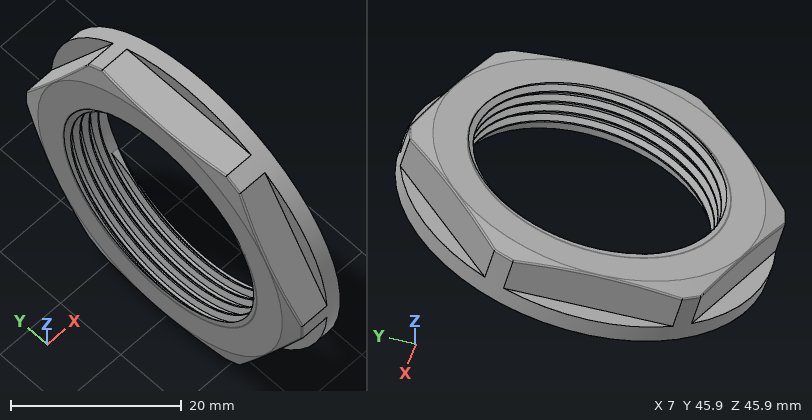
import cadquery as cq
import math

flange_diameter = 45.9
overall_length = 7.0
flange_thickness = 2.2
across_flats = 41.0
face_circle_diameter = 40.6
face_chamfer_angle = 14.0
edge_fillet = 0.2

thread_major_diameter = 32.02
thread_minor_diameter = 30.5
thread_pitch = 1.5
crest_width = thread_pitch / 8
flank_angle = 30.0
thread_start_angle = -30.0
thread_end_gap = 0.1
root_overlap = 0.1

hex_face_x = -overall_length / 2
flange_face_x = overall_length / 2
hex_length = overall_length - flange_thickness

flange_radius = flange_diameter / 2
flat_radius = across_flats / 2
face_circle_radius = face_circle_diameter / 2
major_radius = thread_major_diameter / 2
minor_radius = thread_minor_diameter / 2
thread_depth = major_radius - minor_radius

axis_start = (0, 0, 0)
axis_end = (1, 0, 0)


def make_turned_blank():
    """Disc with the conical chamfer that takes the hexagon corners off the face."""
    chamfer_length = (flange_radius - face_circle_radius) * math.tan(math.radians(face_chamfer_angle))
    profile = (
        cq.Workplane("XY")
        .moveTo(hex_face_x, 0)
        .lineTo(hex_face_x, face_circle_radius)
        .lineTo(hex_face_x + chamfer_length, flange_radius)
        .lineTo(flange_face_x, flange_radius)
        .lineTo(flange_face_x, 0)
        .close()
    )
    return profile.revolve(360, axis_start, axis_end)


def cut_hexagon(body):
    """Leave six flats, two of them facing +Z and -Z, and a round flange behind them."""
    corner_diameter = across_flats / math.cos(math.pi / 6)
    waste = (
        cq.Workplane("YZ", origin=(hex_face_x, 0, 0))
        .circle(flange_diameter)
        .polygon(6, corner_diameter)
        .extrude(hex_length)
    )
    return body.cut(waste)


def round_hexagon_edges(body):
    """Small fillet where the conical chamfer meets the flats and the corner arcs."""
    return body.faces("%CONE").edges("not <X").fillet(edge_fillet)


def cut_bore(body):
    """Plain through bore at the thread major diameter."""
    bore = cq.Workplane("YZ", origin=(hex_face_x, 0, 0)).circle(major_radius).extrude(overall_length)
    return body.cut(bore)


def make_thread_ramp():
    """Block whose flat side, tangent to the crest, slopes the start of the ridge up from the bore wall."""
    ramp_angle = math.degrees(math.acos(minor_radius / major_radius))
    block_height = 2 * thread_depth
    block_width = 2 * thread_pitch
    block_length = math.sqrt(major_radius**2 - minor_radius**2) + thread_depth
    block = (
        cq.Workplane("XY", origin=(flange_face_x, minor_radius - block_height / 2, 0))
        .rect(block_width, block_height)
        .extrude(block_length)
    )
    return block.rotate(axis_start, axis_end, thread_start_angle - ramp_angle)


def make_thread_ridge():
    """Right-handed helical ridge, starting near the flange face and trimmed at the hexagon face."""
    flank_slope = math.tan(math.radians(flank_angle))
    crest_half_width = crest_width / 2
    root_half_width = crest_half_width + thread_depth * flank_slope
    buried_radius = major_radius + root_overlap
    buried_half_width = root_half_width + root_overlap * flank_slope
    ridge_start_x = flange_face_x - thread_end_gap - root_half_width
    ridge_length = ridge_start_x - hex_face_x + thread_pitch
    path = cq.Wire.makeHelix(thread_pitch, ridge_length, major_radius)
    ridge = (
        cq.Workplane("XZ")
        .moveTo(buried_radius, -buried_half_width)
        .lineTo(minor_radius, -crest_half_width)
        .lineTo(minor_radius, crest_half_width)
        .lineTo(buried_radius, buried_half_width)
        .close()
        .sweep(cq.Workplane(path), isFrenet=True)
    )
    ridge = ridge.rotate((0, 0, 0), (0, 1, 0), -90)
    ridge = ridge.rotate(axis_start, axis_end, thread_start_angle - 90)
    ridge = ridge.translate((ridge_start_x, 0, 0))
    envelope = cq.Workplane("YZ", origin=(hex_face_x, 0, 0)).circle(flat_radius).extrude(overall_length)
    return ridge.intersect(envelope).cut(make_thread_ramp())


blank = round_hexagon_edges(cut_hexagon(make_turned_blank()))
result = cut_bore(blank).union(make_thread_ridge(), clean=False)